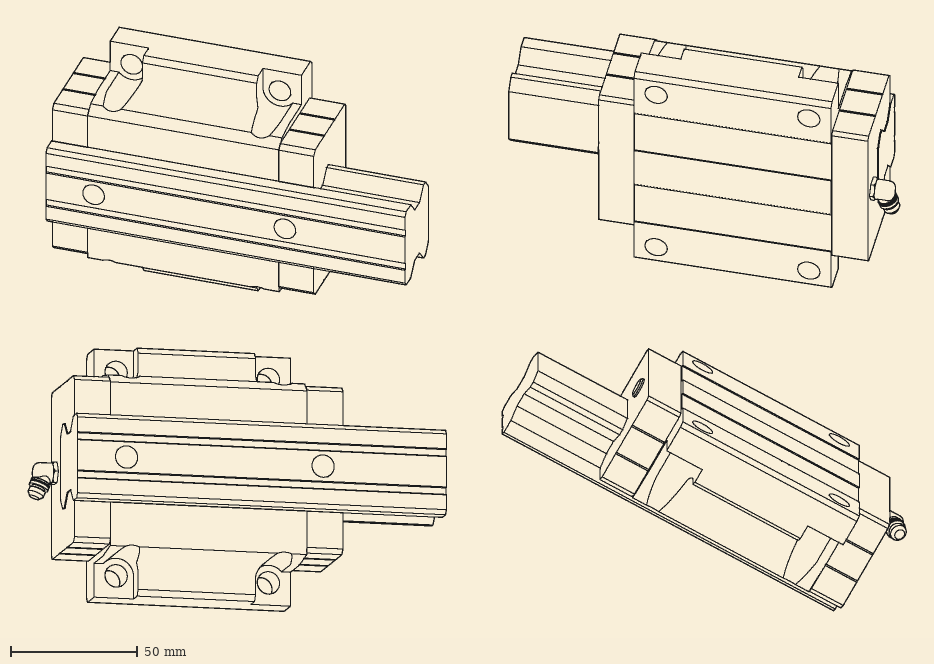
import cadquery as cq
import math


BLOCK_LENGTH = 80.0
BLOCK_BASE_Y = 7.2
MOUNT_FACE_Y = 48.0
FLANGE_WIDTH = 100.0
FLANGE_BASE_Y = 27.2
FLANGE_TOP_CHAMFER = 2.0
FLANGE_BASE_CHAMFER_Y = 1.8
FLANGE_BASE_CHAMFER_Z = 2.4
FLANK_ROOT_Z = 37.5
FLANK_DRAFT = 8.5
FLANK_FILLET = 3.0
UPPER_FLANK_CHAMFER = 3.5
RECESS_DEPTH = 0.5
RECESS_INNER_Z = 9.2
RECESS_OUTER_Z = 29.1

BOLT_HOLE_D = 9.0
BOLT_PITCH_X = 62.0
BOLT_PITCH_Z = 82.0
BOLT_SEAT_D = 14.2
BOLT_SEAT_Y = 34.9
BOLT_POCKET_Z = 36.4

CAP_LENGTH = 14.6
CAP_BASE_Y = 6.8
CAP_TOP_Y = 46.5
CAP_HALF_WIDTH = 33.6
CAP_CHAMFER = 1.5
CAP_BASE_CHAMFER = 2.0
CAP_SEAM_YS = (20.0, 32.8)
CAP_SEAM_WIDTH = 0.6
CAP_SEAM_DEPTH = 0.2

RAIL_LENGTH = 150.1
RAIL_END_X = 95.0
RAIL_HEIGHT = 29.1
RAIL_HALF_WIDTH = 17.0
RAIL_TOP_HALF_WIDTH = 12.7
RAIL_WAIST_HALF_WIDTH = 11.7
RAIL_SHOULDER_Y = 25.3
RAIL_LIP_Y = 22.8
RAIL_WAIST_TOP_Y = 17.9
RAIL_WAIST_BASE_Y = 12.0
RAIL_FOOT_Y = 7.0
RAIL_FOOT_CHAMFER_Y = 1.5
RAIL_FOOT_CHAMFER_Z = 1.8
BASE_GROOVE_Z = 7.7
BASE_GROOVE_WIDTH = 3.2
BASE_GROOVE_DEPTH = 0.5
BASE_GROOVE_WALL = 0.3
RAIL_HOLE_D = 9.0
RAIL_HOLE_PITCH = BLOCK_LENGTH
RAIL_HOLE_OFFSET = 20.0

PORT_Y = 39.0
HEX_ACROSS_FLATS = 8.2
HEX_LENGTH = 1.8
HEX_CHAMFER = 0.5
ELBOW_D = 8.0
ELBOW_LENGTH = 9.2
ELBOW_FILLET = 2.5
SPOUT_TILT = 22.5
SPOUT_OFFSET = 4.5
SPOUT_COLLAR_D = 7.9
SPOUT_STEM_D = 7.0
SPOUT_NECK_D = 5.5
SPOUT_HEAD_D = 6.6
SPOUT_TIP_D = 4.2
SPOUT_START = 0.5
SPOUT_COLLAR_START = 4.0
SPOUT_GROOVE_START = 4.8
SPOUT_GROOVE_END = 5.3
SPOUT_NECK_START = 6.6
SPOUT_HEAD_START = 7.5
SPOUT_HEAD_END = 9.5
SPOUT_END = 11.0
PLUG_D = 8.0
PLUG_LENGTH = 1.3
PLUG_CHAMFER = 0.6

CARRIAGE_HALF_LENGTH = BLOCK_LENGTH / 2 + CAP_LENGTH


def box(x_range, y_range, z_range):
    """Box spanning the given ranges along X, Y and Z."""
    sizes = [high - low for low, high in (x_range, y_range, z_range)]
    corner = (x_range[0], y_range[0], z_range[0])
    return cq.Workplane("XY").box(*sizes, centered=False).translate(corner)


def round_bar(diameter, x, z, y_low, y_high):
    """Cylinder parallel to Y."""
    bar = cq.Workplane("XZ").circle(diameter / 2).extrude(y_low - y_high)
    return bar.translate((x, y_low, z))


def extrude_along_x(points, x_low, x_high):
    """Solid with a (Y, Z) outline, running from x_low to x_high."""
    return cq.Workplane("YZ", origin=(x_low, 0, 0)).polyline(points).close().extrude(x_high - x_low)


def mirrored_outline(half):
    """Close a (Y, Z) half outline by its mirror image in Z = 0."""
    return half + [(y, -z) for y, z in reversed(half)]


def make_rail_bar(x_low, x_high):
    """Plain rail section, also used to cut the carriage's channel."""
    half = [
        (0, RAIL_HALF_WIDTH - RAIL_FOOT_CHAMFER_Z),
        (RAIL_FOOT_CHAMFER_Y, RAIL_HALF_WIDTH),
        (RAIL_FOOT_Y, RAIL_HALF_WIDTH),
        (RAIL_WAIST_BASE_Y, RAIL_WAIST_HALF_WIDTH),
        (RAIL_WAIST_TOP_Y, RAIL_WAIST_HALF_WIDTH),
        (RAIL_LIP_Y, RAIL_HALF_WIDTH),
        (RAIL_SHOULDER_Y, RAIL_HALF_WIDTH),
        (RAIL_HEIGHT, RAIL_TOP_HALF_WIDTH),
    ]
    return extrude_along_x(mirrored_outline(half), x_low, x_high)


def make_rail():
    start_x = RAIL_END_X - RAIL_LENGTH
    rail = make_rail_bar(start_x, RAIL_END_X)
    for z in (-BASE_GROOVE_Z, BASE_GROOVE_Z):
        mouth = BASE_GROOVE_WIDTH / 2
        floor = mouth - BASE_GROOVE_WALL
        groove = [
            (0, z - mouth),
            (BASE_GROOVE_DEPTH, z - floor),
            (BASE_GROOVE_DEPTH, z + floor),
            (0, z + mouth),
        ]
        rail = rail.cut(extrude_along_x(groove, start_x, RAIL_END_X))
    for index in range(2):
        x = start_x + RAIL_HOLE_OFFSET + index * RAIL_HOLE_PITCH
        rail = rail.cut(round_bar(RAIL_HOLE_D, x, 0, 0, RAIL_HEIGHT))
    return rail


def flank_z(y):
    """Half width of the block below the flange; it narrows towards the base."""
    return FLANK_ROOT_Z - (FLANGE_BASE_Y - y) * math.tan(math.radians(FLANK_DRAFT))


def flange_half_outline():
    """Flange side from the root of the flank up to the mounting face."""
    edge_z = FLANGE_WIDTH / 2
    return [
        (FLANGE_BASE_Y, FLANK_ROOT_Z),
        (FLANGE_BASE_Y, edge_z - FLANGE_BASE_CHAMFER_Z),
        (FLANGE_BASE_Y + FLANGE_BASE_CHAMFER_Y, edge_z),
        (MOUNT_FACE_Y - FLANGE_TOP_CHAMFER, edge_z),
        (MOUNT_FACE_Y, edge_z - FLANGE_TOP_CHAMFER),
    ]


def make_block():
    chamfer_y = BLOCK_BASE_Y + UPPER_FLANK_CHAMFER
    chamfer_z = flank_z(chamfer_y)
    upper = [(BLOCK_BASE_Y, chamfer_z - UPPER_FLANK_CHAMFER), (chamfer_y, chamfer_z)]
    upper += flange_half_outline()
    lower = [(BLOCK_BASE_Y, flank_z(BLOCK_BASE_Y))] + flange_half_outline()
    outline = upper + [(y, -z) for y, z in reversed(lower)]
    half = BLOCK_LENGTH / 2
    block = extrude_along_x(outline, -half, half)
    for side in (-1, 1):
        root = cq.selectors.NearestToPointSelector((0, FLANGE_BASE_Y, side * FLANK_ROOT_Z))
        block = block.edges(root).fillet(FLANK_FILLET)
    for z_range in ((RECESS_INNER_Z, RECESS_OUTER_Z), (-RECESS_OUTER_Z, -RECESS_INNER_Z)):
        block = block.cut(box((-half, half), (MOUNT_FACE_Y - RECESS_DEPTH, MOUNT_FACE_Y), z_range))
    corner = make_corner_cut()
    for cut in (corner, corner.mirror("YZ")):
        block = block.cut(cut).cut(cut.mirror("XY"))
    return block


def make_corner_cut():
    """Bolt hole and its open seat at the +X, +Z corner of the block."""
    x = BOLT_PITCH_X / 2
    z = BOLT_PITCH_Z / 2
    depth = (BLOCK_BASE_Y, BOLT_SEAT_Y)
    end_x = BLOCK_LENGTH / 2
    edge_z = FLANGE_WIDTH / 2
    hole = round_bar(BOLT_HOLE_D, x, z, BLOCK_BASE_Y, MOUNT_FACE_Y)
    seat = round_bar(BOLT_SEAT_D, x, z, *depth)
    outer_pocket = box((x - BOLT_SEAT_D / 2, end_x), depth, (z, edge_z))
    end_pocket = box((x, end_x), depth, (BOLT_POCKET_Z, edge_z))
    return hole.union(seat).union(outer_pocket).union(end_pocket)


def make_cap():
    """End cap at the +X end of the block, with shallow seam grooves on its sides."""
    half = [
        (CAP_BASE_Y, CAP_HALF_WIDTH - CAP_BASE_CHAMFER),
        (CAP_BASE_Y + CAP_BASE_CHAMFER, CAP_HALF_WIDTH),
        (CAP_TOP_Y - CAP_CHAMFER, CAP_HALF_WIDTH),
        (CAP_TOP_Y, CAP_HALF_WIDTH - CAP_CHAMFER),
    ]
    x_range = (BLOCK_LENGTH / 2, CARRIAGE_HALF_LENGTH)
    cap = extrude_along_x(mirrored_outline(half), *x_range)
    floor_z = CAP_HALF_WIDTH - CAP_SEAM_DEPTH
    for y in CAP_SEAM_YS:
        y_range = (y - CAP_SEAM_WIDTH / 2, y + CAP_SEAM_WIDTH / 2)
        seam = box(x_range, y_range, (floor_z, CAP_HALF_WIDTH))
        cap = cap.cut(seam).cut(seam.mirror("XY"))
    return cap


def make_spout():
    """Turned spout of the nipple, leaving the elbow downwards and outwards."""
    profile = [
        (0, SPOUT_START),
        (SPOUT_STEM_D / 2, SPOUT_START),
        (SPOUT_STEM_D / 2, SPOUT_COLLAR_START),
        (SPOUT_COLLAR_D / 2, SPOUT_COLLAR_START),
        (SPOUT_COLLAR_D / 2, SPOUT_GROOVE_START),
        (SPOUT_STEM_D / 2, SPOUT_GROOVE_START),
        (SPOUT_STEM_D / 2, SPOUT_GROOVE_END),
        (SPOUT_COLLAR_D / 2, SPOUT_GROOVE_END),
        (SPOUT_COLLAR_D / 2, SPOUT_NECK_START),
        (SPOUT_NECK_D / 2, SPOUT_NECK_START),
        (SPOUT_NECK_D / 2, SPOUT_HEAD_START),
        (SPOUT_HEAD_D / 2, SPOUT_HEAD_START),
        (SPOUT_HEAD_D / 2, SPOUT_HEAD_END),
        (SPOUT_TIP_D / 2, SPOUT_END),
        (0, SPOUT_END),
    ]
    points = [(radius, -distance) for radius, distance in profile]
    spout = cq.Workplane("XZ").polyline(points).close().revolve(360, (0, 0), (0, 1))
    spout = spout.rotate((0, 0, 0), (0, 1, 0), SPOUT_TILT)
    return spout.translate((-CARRIAGE_HALF_LENGTH - SPOUT_OFFSET, PORT_Y, 0))


def make_nipple():
    """Hexagon, elbow and spout on the -X cap."""
    face = cq.Workplane("YZ", origin=(-CARRIAGE_HALF_LENGTH, PORT_Y, 0))
    corner_d = HEX_ACROSS_FLATS / math.cos(math.radians(30))
    chamfered_bar = face.circle(corner_d / 2).extrude(-HEX_LENGTH).faces("<X").chamfer(HEX_CHAMFER)
    hexagon = face.polygon(6, corner_d).extrude(-HEX_LENGTH).intersect(chamfered_bar)
    elbow = face.circle(ELBOW_D / 2).extrude(-ELBOW_LENGTH).faces("<X").edges().fillet(ELBOW_FILLET)
    return hexagon.union(elbow).union(make_spout())


def make_plug():
    """Plug closing the grease port of the +X cap."""
    face = cq.Workplane("YZ", origin=(CARRIAGE_HALF_LENGTH, PORT_Y, 0))
    return face.circle(PLUG_D / 2).extrude(PLUG_LENGTH).faces(">X").chamfer(PLUG_CHAMFER)


def make_carriage():
    cap = make_cap()
    carriage = make_block().union(cap).union(cap.mirror("YZ"))
    carriage = carriage.cut(make_rail_bar(-CARRIAGE_HALF_LENGTH, CARRIAGE_HALF_LENGTH))
    return carriage.union(make_nipple()).union(make_plug())


rail = make_rail()
carriage = make_carriage()
result = cq.Compound.makeCompound([rail.val(), carriage.val()])